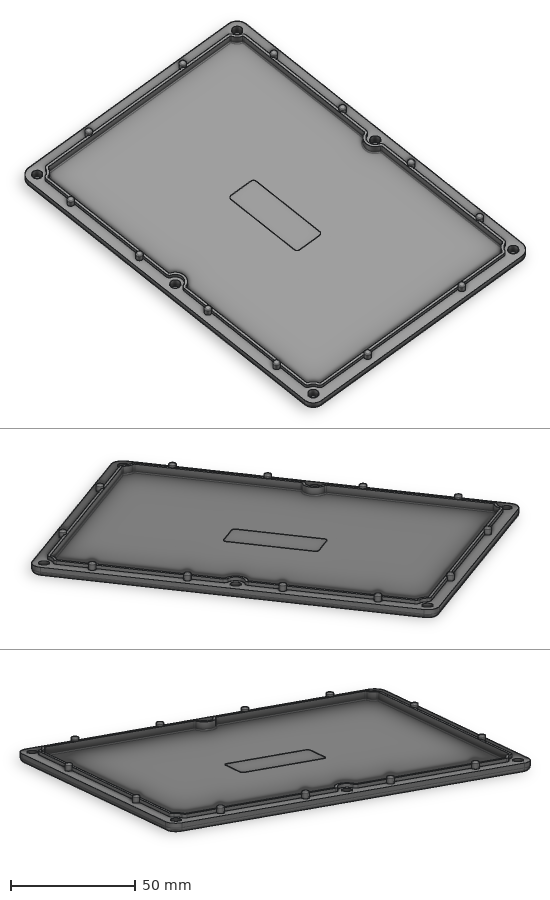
import cadquery as cq

LENGTH = 171.0
WIDTH = 121.0
PLATE_HEIGHT = 4.1
CORNER_RADIUS = 5.0
BOTTOM_ROUND = 2.0
FLOOR_HEIGHT = 2.0

HOLE_DIAMETER = 4.5
HOLE_X = LENGTH / 2 - CORNER_RADIUS
HOLE_Y = WIDTH / 2 - CORNER_RADIUS

LIP_TOP = 5.6
LIP_INSET = 5.0
LIP_THICKNESS = 1.2
LIP_BASE_FILLET = 0.5
HOLE_CLEARANCE_RADIUS = 3.8
LIP_CORNER_RADIUS = 1.9

PEG_DIAMETER = 3.0
PEG_TOP = 7.0
PEG_INSET = 4.1
PEG_TOP_ROUND = 0.5
LONG_SIDE_PEG_SPACING = 40.0
SHORT_SIDE_PEG_SPACING = 52.3
LONG_SIDE_PEGS = 4
SHORT_SIDE_PEGS = 2

LABEL_LENGTH = 40.0
LABEL_WIDTH = 14.0
LABEL_CORNER_RADIUS = 1.5
LABEL_DEPTH = 0.2

hole_points = [(x, y) for x in (-HOLE_X, 0, HOLE_X) for y in (-HOLE_Y, HOLE_Y)]


def make_plate():
    """Flat cover with rounded corners and a rounded lower edge."""
    plate = cq.Workplane("XY").box(LENGTH, WIDTH, PLATE_HEIGHT, centered=(True, True, False))
    return plate.edges("|Z").fillet(CORNER_RADIUS).faces("<Z").edges().fillet(BOTTOM_ROUND)


def make_stepped_block(inset, clearance_radius, corner_radius, bottom, top):
    """Rectangular block inset from the plate edge, with round bites at the holes and rounded corners."""
    height = top - bottom
    base = cq.Workplane("XY").workplane(offset=bottom)
    block = base.rect(LENGTH - 2 * inset, WIDTH - 2 * inset).extrude(height)
    bites = base.pushPoints(hole_points).circle(clearance_radius).extrude(height)
    return block.cut(bites).edges("|Z").fillet(corner_radius)


def centered_row(count, spacing):
    """Evenly spaced positions centered on zero."""
    return [(i - (count - 1) / 2) * spacing for i in range(count)]


def make_pegs():
    """Round-topped pegs along all four sides, sunk into the plate."""
    peg_x = LENGTH / 2 - PEG_INSET
    peg_y = WIDTH / 2 - PEG_INSET
    row_x = centered_row(LONG_SIDE_PEGS, LONG_SIDE_PEG_SPACING)
    row_y = centered_row(SHORT_SIDE_PEGS, SHORT_SIDE_PEG_SPACING)
    long_side = [(x, y) for x in row_x for y in (-peg_y, peg_y)]
    short_side = [(x, y) for x in (-peg_x, peg_x) for y in row_y]
    base = cq.Workplane("XY").workplane(offset=FLOOR_HEIGHT)
    pegs = base.pushPoints(long_side + short_side).circle(PEG_DIAMETER / 2).extrude(PEG_TOP - FLOOR_HEIGHT)
    return pegs.faces(">Z").edges().fillet(PEG_TOP_ROUND)


def make_label_pocket():
    """Thin block with rounded corners whose top is flush with the floor."""
    pocket = cq.Workplane("XY").box(LABEL_LENGTH, LABEL_WIDTH, LABEL_DEPTH, centered=(True, True, False))
    return pocket.edges("|Z").fillet(LABEL_CORNER_RADIUS).translate((0, 0, FLOOR_HEIGHT - LABEL_DEPTH))


lip_block = make_stepped_block(LIP_INSET, HOLE_CLEARANCE_RADIUS, LIP_CORNER_RADIUS, FLOOR_HEIGHT, LIP_TOP)
recess = make_stepped_block(
    LIP_INSET + LIP_THICKNESS,
    HOLE_CLEARANCE_RADIUS + LIP_THICKNESS,
    LIP_CORNER_RADIUS - LIP_THICKNESS,
    FLOOR_HEIGHT,
    PEG_TOP,
)
recess = recess.faces("<Z").edges().fillet(LIP_BASE_FILLET)
holes = cq.Workplane("XY").pushPoints(hole_points).circle(HOLE_DIAMETER / 2).extrude(PLATE_HEIGHT)

result = make_plate().union(lip_block).union(make_pegs())
result = result.cut(recess).cut(make_label_pocket()).cut(holes)